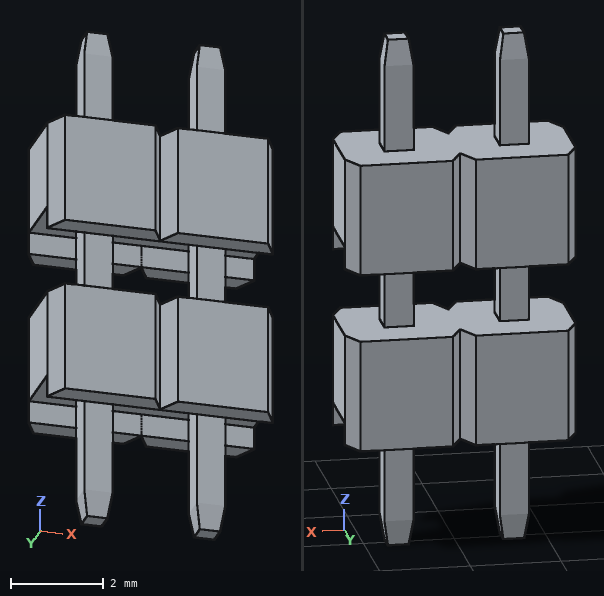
import cadquery as cq

pin_count = 2
total_height = 11.5
pitch = 2.54
body_depth = 2.5
body_height = 2.5
body_bottoms = (2.5, 6.5)

corner_x = 0.25
corner_y = 0.51

channel_width = 1.43
channel_height = 0.51

pin_width = 0.64
tip_width = 0.46
taper_length = 0.58

row_length = pin_count * pitch
pin_positions = [((i + 0.5) * pitch - row_length / 2, 0) for i in range(pin_count)]


def cell_outline(center_x):
    """Eight-sided outline of one insulator cell; adjacent cells form the V notches."""
    outer_x = pitch / 2
    outer_y = body_depth / 2
    flat_x = outer_x - corner_x
    flat_y = outer_y - corner_y
    corners = [
        (-flat_x, -outer_y),
        (flat_x, -outer_y),
        (outer_x, -flat_y),
        (outer_x, flat_y),
        (flat_x, outer_y),
        (-flat_x, outer_y),
        (-outer_x, flat_y),
        (-outer_x, -flat_y),
    ]
    return [(center_x + x, y) for x, y in corners]


def make_insulator(bottom):
    body = cq.Workplane("XY")
    for center_x, _ in pin_positions:
        cell = cq.Workplane("XY").workplane(offset=bottom).polyline(cell_outline(center_x)).close()
        body = body.union(cell.extrude(body_height))
    channel = (
        cq.Workplane("XY")
        .box(row_length, channel_width, channel_height, centered=(True, True, False))
        .translate((0, 0, bottom))
    )
    return body.cut(channel)


def make_pin(position):
    shank = (
        cq.Workplane("XY")
        .workplane(offset=taper_length)
        .rect(pin_width, pin_width)
        .extrude(total_height - 2 * taper_length)
    )
    bottom_tip = (
        cq.Workplane("XY")
        .rect(tip_width, tip_width)
        .workplane(offset=taper_length)
        .rect(pin_width, pin_width)
        .loft(ruled=True)
    )
    top_tip = bottom_tip.mirror("XY").translate((0, 0, total_height))
    pin = shank.union(bottom_tip).union(top_tip)
    return pin.translate((*position, 0))


result = cq.Workplane("XY")
for bottom in body_bottoms:
    result = result.union(make_insulator(bottom))
for position in pin_positions:
    result = result.union(make_pin(position))